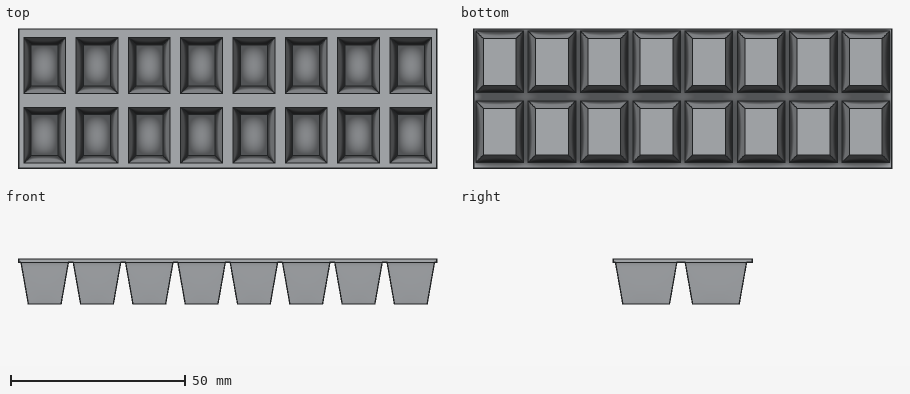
import cadquery as cq
import math

columns = 8
rows = 2
column_pitch = 15.0
row_pitch = 20.0
tray_length = columns * column_pitch
tray_width = rows * row_pitch
tray_height = 13.0
plate_thickness = 1.0

wall = 1.0
floor_thickness = 1.0
draft_angle = 10.0
mouth_length = 12.0
mouth_width = 16.0
row_offset = -0.5


def cup_centres():
    """Centres of all cups, measured from the middle of the plate."""
    centres = []
    for column in range(columns):
        for row in range(rows):
            x = (column - (columns - 1) / 2) * column_pitch
            y = (row - (rows - 1) / 2) * row_pitch + row_offset
            centres.append((x, y))
    return centres


def tapered_boxes(length, width, depth):
    """One box per cup, hanging from the plate's top face and narrowing downwards."""
    inset = depth * math.tan(math.radians(draft_angle))
    box = (
        cq.Workplane("XY", origin=(0, 0, tray_height))
        .rect(length, width)
        .workplane(offset=-depth)
        .rect(length - 2 * inset, width - 2 * inset)
        .loft(ruled=True, combine=True)
    )
    boxes = cq.Workplane("XY")
    for x, y in cup_centres():
        boxes = boxes.add(box.translate((x, y, 0)))
    return boxes.combine()


def make_plate():
    """Flat plate that joins the cup rims."""
    return (
        cq.Workplane("XY", origin=(0, 0, tray_height - plate_thickness))
        .rect(tray_length, tray_width)
        .extrude(plate_thickness)
    )


def make_tray():
    """Plate with the cup bodies added and then hollowed out."""
    bodies = tapered_boxes(mouth_length + 2 * wall, mouth_width + 2 * wall, tray_height)
    hollows = tapered_boxes(mouth_length, mouth_width, tray_height - floor_thickness)
    return make_plate().union(bodies).cut(hollows)


result = make_tray()